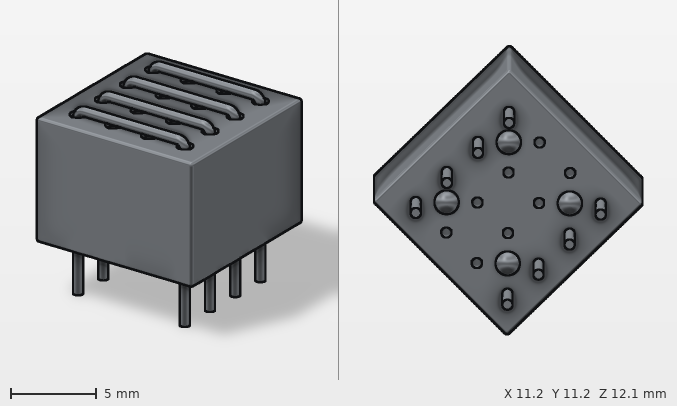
import cadquery as cq

HOUSING_WIDTH = 11.2
HOUSING_HEIGHT = 8.0
EDGE_RADIUS = 0.2

PITCH = 2.54
GRID_COUNT = 4
FIRST_POSITION = -PITCH * (GRID_COUNT - 1) / 2
GRID_POSITIONS = [FIRST_POSITION + PITCH * i for i in range(GRID_COUNT)]

WIRE_DIAMETER = 0.6
BEND_RADIUS = 0.5
TOTAL_HEIGHT = 12.1
LEG_LENGTH = TOTAL_HEIGHT - HOUSING_HEIGHT - WIRE_DIAMETER

COUNTERSINK_SIZE = BEND_RADIUS - WIRE_DIAMETER / 2

STANDOFF_RADIUS = 0.71
STANDOFF_DROP = 0.67
STANDOFF_OFFSET = PITCH


def make_block():
    return (
        cq.Workplane("XY")
        .box(HOUSING_WIDTH, HOUSING_WIDTH, HOUSING_HEIGHT, centered=(True, True, False))
        .edges()
        .fillet(EDGE_RADIUS)
    )


def make_standoffs():
    spacing = 2 * STANDOFF_OFFSET
    return (
        cq.Workplane("XY", origin=(0, 0, STANDOFF_RADIUS - STANDOFF_DROP))
        .rarray(spacing, spacing, 2, 2)
        .sphere(STANDOFF_RADIUS)
    )


def make_wire_holes():
    shaft_radius = WIRE_DIAMETER / 2
    countersink_radius = shaft_radius + COUNTERSINK_SIZE
    profile = (
        cq.Workplane("XZ")
        .lineTo(shaft_radius, 0)
        .lineTo(shaft_radius, HOUSING_HEIGHT - COUNTERSINK_SIZE)
        .lineTo(countersink_radius, HOUSING_HEIGHT)
        .lineTo(0, HOUSING_HEIGHT)
        .close()
    )
    hole = profile.revolve(360, (0, 0), (0, 1)).val()
    return (
        cq.Workplane("XY")
        .rarray(PITCH, PITCH, GRID_COUNT, GRID_COUNT)
        .eachpoint(lambda place: hole.moved(place))
    )


def make_housing():
    return make_block().union(make_standoffs()).cut(make_wire_holes())


def make_jumper(y):
    left = GRID_POSITIONS[0]
    right = GRID_POSITIONS[-1]
    run_z = HOUSING_HEIGHT + WIRE_DIAMETER / 2
    bend_z = run_z - BEND_RADIUS
    path = (
        cq.Workplane("XZ", origin=(0, y, 0))
        .moveTo(left, -LEG_LENGTH)
        .lineTo(left, bend_z)
        .radiusArc((left + BEND_RADIUS, run_z), BEND_RADIUS)
        .lineTo(right - BEND_RADIUS, run_z)
        .radiusArc((right, bend_z), BEND_RADIUS)
        .lineTo(right, -LEG_LENGTH)
    )
    profile = cq.Workplane("XY", origin=(left, y, -LEG_LENGTH)).circle(WIRE_DIAMETER / 2)
    return profile.sweep(path)


housing = make_housing()
jumpers = [make_jumper(y) for y in GRID_POSITIONS]

result = cq.Compound.makeCompound([housing.solids().val(), *[jumper.val() for jumper in jumpers]])